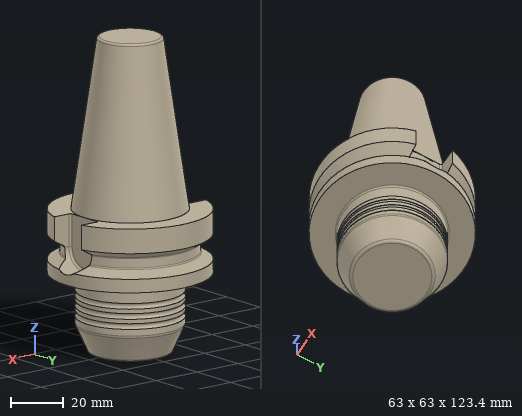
import cadquery as cq
import math

total_height = 123.4
flange_bottom = 31.1
flange_top = 56.0

taper_half_slope = 7 / 48
taper_base_radius = 22.5
taper_top_radius = taper_base_radius - taper_half_slope * (total_height - flange_top)
shank_end_fillet = 1.0

flange_radius = 63.0 / 2
groove_radius = 26.7
groove_lower_edge = 36.4
groove_upper_edge = 46.4
groove_flank_angle = 30.0
groove_root_fillet = 0.6
flank_rise = (flange_radius - groove_radius) * math.tan(math.radians(groove_flank_angle))

nose_radius = 42.0 / 2
nose_cone_height = 11.0
nose_end_radius = 15.9
nose_shoulder_fillet = 2.2
nose_end_fillet = 1.5
nose_root_fillet = 0.6

ring_count = 3
ring_lowest_height = 15.2
ring_pitch = 4.0
ring_width = 2.2
ring_depth = 0.6

keyway_width = 16.2
keyway_floor_distance = 22.5
keyway_bottom = 35.2
keyway_floor_fillet = 0.9


def revolve_profile(profile):
    """Turn a closed radius-height outline around the Z axis."""
    return profile.close().revolve(360, (0, 0, 0), (0, 1, 0))


def make_nose():
    nose = revolve_profile(
        cq.Workplane("XZ")
        .lineTo(nose_end_radius, 0)
        .lineTo(nose_radius, nose_cone_height)
        .lineTo(nose_radius, flange_bottom)
        .lineTo(0, flange_bottom)
    )
    shoulder = cq.selectors.NearestToPointSelector((0, 0, nose_cone_height))
    nose = nose.edges("%CIRCLE").edges(shoulder).fillet(nose_shoulder_fillet)
    return nose.faces("<Z").edges().fillet(nose_end_fillet)


def make_ring_groove(height):
    """Ring cutter with a shallow arc section, centred at the given height."""
    return revolve_profile(
        cq.Workplane("XZ")
        .moveTo(nose_radius, height - ring_width / 2)
        .threePointArc((nose_radius - ring_depth, height), (nose_radius, height + ring_width / 2))
    )


def make_flange():
    flange = revolve_profile(
        cq.Workplane("XZ")
        .moveTo(0, flange_bottom)
        .lineTo(flange_radius, flange_bottom)
        .lineTo(flange_radius, groove_lower_edge)
        .lineTo(groove_radius, groove_lower_edge + flank_rise)
        .lineTo(groove_radius, groove_upper_edge - flank_rise)
        .lineTo(flange_radius, groove_upper_edge)
        .lineTo(flange_radius, flange_top)
        .lineTo(0, flange_top)
    )
    root_edges = cq.selectors.RadiusNthSelector(0)
    return flange.edges("%CIRCLE").edges(root_edges).fillet(groove_root_fillet)


def make_shank():
    shank = revolve_profile(
        cq.Workplane("XZ")
        .moveTo(0, flange_top)
        .lineTo(taper_base_radius, flange_top)
        .lineTo(taper_top_radius, total_height)
        .lineTo(0, total_height)
    )
    return shank.faces(">Z").edges().fillet(shank_end_fillet)


def make_keyway():
    """Round-ended slot cutter on the +X side, with a rounded floor edge."""
    end_radius = keyway_width / 2
    end_center = keyway_bottom + end_radius
    cutter_top = total_height
    cutter = (
        cq.Workplane("YZ", origin=(keyway_floor_distance, 0, 0))
        .moveTo(-end_radius, cutter_top)
        .lineTo(-end_radius, end_center)
        .threePointArc((0, keyway_bottom), (end_radius, end_center))
        .lineTo(end_radius, cutter_top)
        .close()
        .extrude(flange_radius)
    )
    return cutter.faces("<X").edges("not >Z").fillet(keyway_floor_fillet)


nose = make_nose()
for ring in range(ring_count):
    nose = nose.cut(make_ring_groove(ring_lowest_height + ring * ring_pitch))

flange = make_flange()
keyway = make_keyway()
for angle in (0, 180):
    flange = flange.cut(keyway.rotate((0, 0, 0), (0, 0, 1), angle))

result = flange.union(nose).union(make_shank())

underside_edges = cq.selectors.BoxSelector(
    (-nose_radius, -nose_radius, flange_bottom - nose_root_fillet),
    (nose_radius, nose_radius, flange_bottom + nose_root_fillet),
)
smallest_circle = cq.selectors.RadiusNthSelector(0)
result = result.edges("%CIRCLE").edges(underside_edges).edges(smallest_circle).fillet(nose_root_fillet)